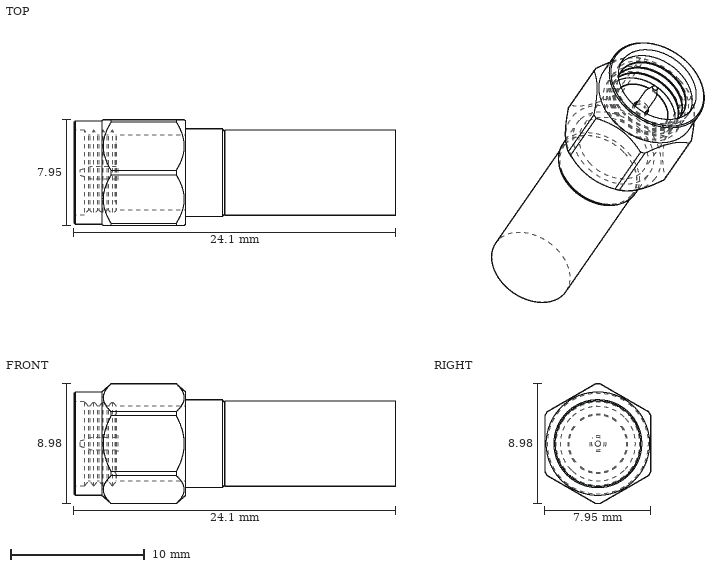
import cadquery as cq
import math

total_length = 24.07
hex_start = 2.07
nut_length = 8.35
collar_end = 11.1
sleeve_start = 11.31

across_flats = 7.95
across_rounded_corners = 8.98
nut_collar_diameter = 7.75
nut_front_chamfer = 0.1
hex_chamfer_length = 0.7

thread_major_diameter = 6.35
thread_minor_diameter = 5.6
thread_pitch = 0.7
mouth_depth = 0.77
thread_flank_length = 0.3
thread_groove_count = 3
crest_width = thread_pitch - 2 * thread_flank_length

shoulder_face = 3.18
boss_face = 3.05
boss_diameter = 4.45
boss_chamfer = 0.07
collar_diameter = 6.6
relief_diameter = 6.25
sleeve_diameter = 6.4
relief_bottom = 11.25

pin_diameter = 0.95
pin_tip_diameter = 0.4
pin_tip_face = 0.45
pin_taper_length = 0.85
recess_diameter = 1.2
recess_depth = 0.25


def revolve_profile(points):
    """Revolve a closed outline of (x, radius) points about the X axis."""
    return cq.Workplane("XY").polyline(points).close().revolve(360, (0, 0, 0), (1, 0, 0))


def nut_outside():
    """Hexagon with conical ends and rounded corners, and a round collar in front of it."""
    collar_radius = nut_collar_diameter / 2
    corner_radius = across_rounded_corners / 2
    envelope = revolve_profile([
        (hex_start, 0),
        (hex_start, collar_radius),
        (hex_start + hex_chamfer_length, corner_radius),
        (nut_length - hex_chamfer_length, corner_radius),
        (nut_length, collar_radius),
        (nut_length, 0),
    ])
    across_sharp_corners = across_flats / math.cos(math.pi / 6)
    hexagon = (
        cq.Workplane("YZ", origin=(hex_start, 0, 0))
        .transformed(rotate=(0, 0, 90))
        .polygon(6, across_sharp_corners)
        .extrude(nut_length - hex_start)
    )
    collar = (
        cq.Workplane("YZ")
        .circle(collar_radius)
        .extrude(hex_start)
        .faces("<X")
        .chamfer(nut_front_chamfer)
    )
    return hexagon.intersect(envelope).union(collar)


def nut_bore():
    """Space inside the nut: wide mouth, tapered lead-in, thread grooves and plain bore."""
    major_radius = thread_major_diameter / 2
    minor_radius = thread_minor_diameter / 2
    lead_in_end = mouth_depth + thread_flank_length
    points = [(0, 0), (0, major_radius), (mouth_depth, major_radius), (lead_in_end, minor_radius)]
    for index in range(thread_groove_count):
        groove_start = lead_in_end + crest_width + index * thread_pitch
        points += [
            (groove_start, minor_radius),
            (groove_start + thread_flank_length, major_radius),
            (groove_start + 2 * thread_flank_length, minor_radius),
        ]
    points += [(nut_length, minor_radius), (nut_length, 0)]
    return revolve_profile(points)


def make_coupling_nut():
    return nut_outside().cut(nut_bore())


def make_connector_body():
    """Sleeve, collar, shoulder filling the nut bore, stepped boss and centre pin."""
    boss_radius = boss_diameter / 2
    shoulder_radius = thread_minor_diameter / 2
    collar_radius = collar_diameter / 2
    sleeve_radius = sleeve_diameter / 2
    pin_radius = pin_diameter / 2
    recess_radius = recess_diameter / 2
    recess_floor = boss_face + recess_depth
    return revolve_profile([
        (pin_tip_face, 0),
        (pin_tip_face, pin_tip_diameter / 2),
        (pin_tip_face + pin_taper_length, pin_radius),
        (recess_floor, pin_radius),
        (recess_floor, recess_radius),
        (boss_face, recess_radius),
        (boss_face, boss_radius - boss_chamfer),
        (boss_face + boss_chamfer, boss_radius),
        (shoulder_face, boss_radius),
        (shoulder_face, shoulder_radius),
        (nut_length, shoulder_radius),
        (nut_length, collar_radius),
        (collar_end, collar_radius),
        (relief_bottom, relief_diameter / 2),
        (sleeve_start, sleeve_radius),
        (total_length, sleeve_radius),
        (total_length, 0),
    ])


coupling_nut = make_coupling_nut()
connector_body = make_connector_body()

result = cq.Compound.makeCompound([coupling_nut.val(), connector_body.val()])